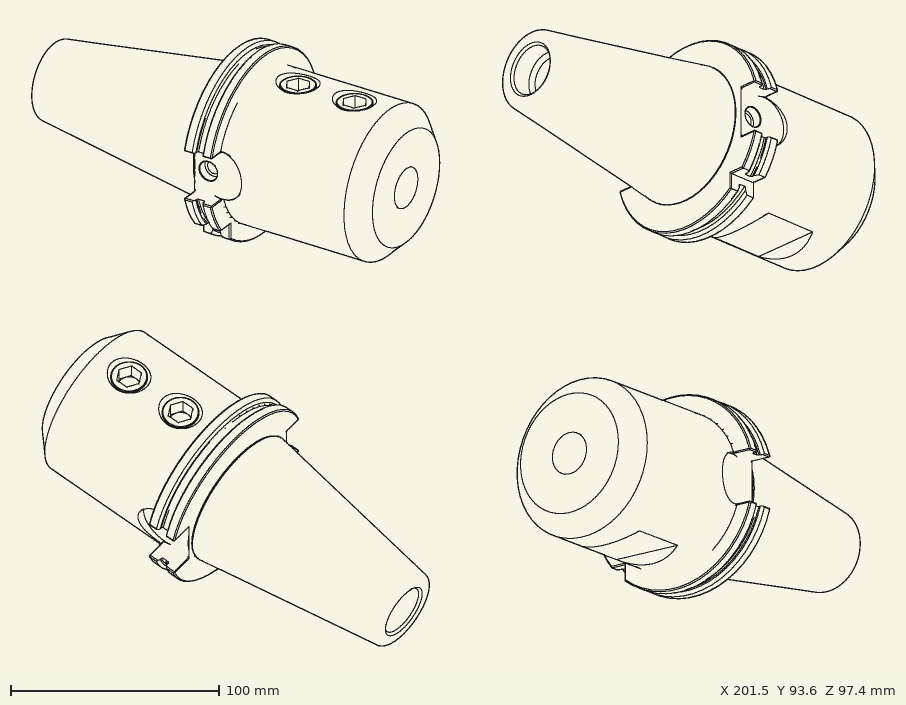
import cadquery as cq
import math

total_length = 201.5

taper_ratio = 7 / 24
gauge_x = 101.2
gauge_diameter = 70.2
taper_end_x = 102.8
taper_end_fillet = 2.5
relief_depth = 0.5
relief_fillet = 1.2
small_end_radius = (gauge_diameter - gauge_x * taper_ratio) / 2
taper_end_radius = small_end_radius + taper_end_x * taper_ratio / 2

flange_x = 104.8
flange_width = 15.7
flange_end_x = flange_x + flange_width
flange_radius = 97.4 / 2
edge_chamfer = 0.6
groove_centre_x = 112.7
groove_depth = 3.2
groove_flank_depth = 1.8
groove_mouth_width = 6.2
groove_corner_fillet = 0.6
groove_flank_angle = 30.0
groove_floor_width = groove_mouth_width - 2 * groove_flank_depth * math.tan(math.radians(groove_flank_angle))

nose_radius = 79.5 / 2
nose_chamfer = 9.9
nose_root_fillet = 1.2

bore_diameter = 20.8
counterbore_diameter = 25.0
counterbore_depth = 11.0
counterbore_chamfer = 1.2

slot_width = 25.8
slot_floor_front = 37.3
slot_floor_rear = 35.5
slot_arc_x = 120.4
slot_corner_fillet = 0.6

dimple_diameter = 7.0
dimple_step_diameter = 10.0
dimple_step_depth = 4.8
dimple_mouth_diameter = 10.7
dimple_depth = 10.0
drill_tip_angle = 118.0

notch_y = -30.0
notch_z = -30.2

screw_diameter = 17.7
screw_chamfer = 0.5
screw_pitch = 32.3
screw_middle_x = 156.0
screw_top_z = 38.3
screw_length = 20.2
screw_countersink_diameter = 22.0
hex_across_flats = 10.9
hex_depth = 8.0
screw_places = [screw_middle_x - screw_pitch / 2, screw_middle_x + screw_pitch / 2]

pocket_floor_z = -35.0
pocket_floor_length = 29.5
pocket_end_run = 4.2


def cone_height(radius, tip_angle):
    """Height of a cone of this base radius and full tip angle."""
    return radius / math.tan(math.radians(tip_angle / 2))


def make_turned_body():
    """Taper, flange and nose turned around the X axis."""
    relief_radius = taper_end_radius - relief_depth
    groove_left_x = groove_centre_x - groove_floor_width / 2
    groove_right_x = groove_centre_x + groove_floor_width / 2
    groove_floor_radius = flange_radius - groove_depth
    groove_corner_radius = groove_floor_radius + groove_corner_fillet
    groove_flank_radius = flange_radius - groove_flank_depth
    profile = (
        cq.Workplane("XY")
        .lineTo(0, small_end_radius)
        .lineTo(taper_end_x, taper_end_radius)
        .lineTo(taper_end_x + relief_depth, relief_radius)
        .lineTo(flange_x - relief_fillet, relief_radius)
        .radiusArc((flange_x, relief_radius + relief_fillet), -relief_fillet)
        .lineTo(flange_x, flange_radius - edge_chamfer)
        .lineTo(flange_x + edge_chamfer, flange_radius)
        .lineTo(groove_centre_x - groove_mouth_width / 2, flange_radius)
        .lineTo(groove_left_x, groove_flank_radius)
        .lineTo(groove_left_x, groove_corner_radius)
        .radiusArc((groove_left_x + groove_corner_fillet, groove_floor_radius), -groove_corner_fillet)
        .lineTo(groove_right_x - groove_corner_fillet, groove_floor_radius)
        .radiusArc((groove_right_x, groove_corner_radius), -groove_corner_fillet)
        .lineTo(groove_right_x, groove_flank_radius)
        .lineTo(groove_centre_x + groove_mouth_width / 2, flange_radius)
        .lineTo(flange_end_x - edge_chamfer, flange_radius)
        .lineTo(flange_end_x, flange_radius - edge_chamfer)
        .lineTo(flange_end_x, nose_radius + nose_root_fillet)
        .radiusArc((flange_end_x + nose_root_fillet, nose_radius), -nose_root_fillet)
        .lineTo(total_length - nose_chamfer, nose_radius)
        .lineTo(total_length, nose_radius - nose_chamfer)
        .lineTo(total_length, 0)
        .close()
    )
    turned = profile.revolve(360, (0, 0, 0), (1, 0, 0))
    return turned.faces("<X").edges().fillet(taper_end_fillet)


def make_bore():
    """Through bore with a chamfered counterbore at the small taper end."""
    bore_radius = bore_diameter / 2
    counterbore_radius = counterbore_diameter / 2
    return (
        cq.Workplane("XY")
        .lineTo(0, counterbore_radius + counterbore_chamfer)
        .lineTo(counterbore_chamfer, counterbore_radius)
        .lineTo(counterbore_depth, counterbore_radius)
        .lineTo(counterbore_depth + counterbore_radius - bore_radius, bore_radius)
        .lineTo(total_length, bore_radius)
        .lineTo(total_length, 0)
        .close()
        .revolve(360, (0, 0, 0), (1, 0, 0))
    )


def make_drive_slot(floor_distance, side):
    """Round-ended slot with chamfered edges; side is -1 for -Y and +1 for +Y."""
    half_width = slot_width / 2
    wide_half = half_width + edge_chamfer
    wall_top = math.sqrt(flange_radius**2 - wide_half**2)

    straight = (
        cq.Workplane("YZ", origin=(flange_x, 0, 0))
        .moveTo(side * floor_distance, -half_width)
        .lineTo(side * (wall_top - edge_chamfer), -half_width)
        .lineTo(side * wall_top, -wide_half)
        .lineTo(side * flange_radius, -wide_half)
        .lineTo(side * flange_radius, wide_half)
        .lineTo(side * wall_top, wide_half)
        .lineTo(side * (wall_top - edge_chamfer), half_width)
        .lineTo(side * floor_distance, half_width)
        .close()
        .extrude(flange_width)
    )
    floor_edges = "<Y" if side > 0 else ">Y"
    straight = straight.faces(floor_edges).edges("|X").fillet(slot_corner_fillet)

    flared = (
        cq.Workplane("XZ", origin=(0, side * floor_distance, 0))
        .moveTo(flange_x, -wide_half)
        .lineTo(flange_x + edge_chamfer, -half_width + slot_corner_fillet)
        .lineTo(flange_end_x - edge_chamfer, -half_width + slot_corner_fillet)
        .lineTo(flange_end_x, -wide_half)
        .lineTo(flange_end_x, wide_half)
        .lineTo(flange_end_x - edge_chamfer, half_width - slot_corner_fillet)
        .lineTo(flange_x + edge_chamfer, half_width - slot_corner_fillet)
        .lineTo(flange_x, wide_half)
        .close()
        .extrude(-side * flange_radius)
    )

    round_end = (
        cq.Workplane("XZ", origin=(0, side * floor_distance, 0))
        .center(slot_arc_x, 0)
        .circle(half_width)
        .extrude(-side * flange_radius)
    )
    return straight.union(flared).union(round_end)


def make_dimple():
    """Stepped blind hole in the floor of the front slot, pointing along +Y."""
    radius = dimple_diameter / 2
    step_radius = dimple_step_diameter / 2
    mouth_radius = dimple_mouth_diameter / 2
    floor_y = -slot_floor_front
    step_y = floor_y + dimple_step_depth
    bottom_y = floor_y + dimple_depth
    axis_x = groove_centre_x
    return (
        cq.Workplane("XY")
        .moveTo(axis_x, floor_y)
        .lineTo(axis_x + mouth_radius, floor_y)
        .lineTo(axis_x + step_radius, floor_y + mouth_radius - step_radius)
        .lineTo(axis_x + step_radius, step_y)
        .lineTo(axis_x + radius, step_y)
        .lineTo(axis_x + radius, bottom_y)
        .lineTo(axis_x, bottom_y + cone_height(radius, drill_tip_angle))
        .close()
        .revolve(360, (axis_x, 0, 0), (axis_x, 1, 0))
    )


def make_notch():
    """Corner cut through the flange on the -Y, -Z side, chamfered at both flange faces."""
    size = flange_radius
    corner = cq.Workplane("YZ", origin=(flange_x, 0, 0)).center(notch_y - size / 2, notch_z - size / 2)
    notch = corner.rect(size, size).extrude(flange_width)
    chamfered_size = size + 2 * edge_chamfer
    left_flare = corner.rect(chamfered_size, chamfered_size).extrude(edge_chamfer, taper=45)
    right_flare = left_flare.mirror("YZ", (flange_x + flange_width / 2, 0, 0))
    return notch.union(left_flare).union(right_flare)


def make_balance_pocket():
    """Flat pocket with sloping ends across the underside of the nose."""
    pocket_depth = nose_radius + pocket_floor_z
    half_floor = pocket_floor_length / 2
    half_mouth = half_floor + pocket_end_run
    return (
        cq.Workplane("XZ")
        .moveTo(screw_middle_x - half_floor, pocket_floor_z)
        .lineTo(screw_middle_x + half_floor, pocket_floor_z)
        .lineTo(screw_middle_x + half_mouth, pocket_floor_z - pocket_depth)
        .lineTo(screw_middle_x - half_mouth, pocket_floor_z - pocket_depth)
        .close()
        .extrude(nose_radius, both=True)
    )


def make_screw_hole(x):
    """Blind hole for a clamping screw, with a 45 degree countersink."""
    radius = screw_diameter / 2
    mouth_radius = screw_countersink_diameter / 2
    return (
        cq.Workplane("XZ")
        .moveTo(0, screw_top_z - screw_length)
        .lineTo(radius, screw_top_z - screw_length)
        .lineTo(radius, nose_radius - (mouth_radius - radius))
        .lineTo(mouth_radius, nose_radius)
        .lineTo(0, nose_radius)
        .close()
        .revolve(360, (0, 0, 0), (0, 1, 0))
        .translate((x, 0, 0))
    )


def make_screw(x):
    """Clamping screw with a chamfered head and a hexagon socket that ends in a cone."""
    hex_corner_diameter = hex_across_flats / math.cos(math.radians(30))
    tip_radius = hex_across_flats / 2
    tip_height = cone_height(tip_radius, drill_tip_angle)
    top = cq.Workplane("XY", origin=(x, 0, screw_top_z))
    blank = top.circle(screw_diameter / 2).extrude(-screw_length)
    blank = blank.faces(">Z").edges().chamfer(screw_chamfer)
    socket = top.polygon(6, hex_corner_diameter).extrude(-hex_depth)
    socket_bottom = cq.Vector(x, 0, screw_top_z - hex_depth)
    tip = cq.Solid.makeCone(tip_radius, 0, tip_height, pnt=socket_bottom, dir=cq.Vector(0, 0, -1))
    return blank.cut(socket).cut(cq.Workplane(tip))


def make_holder():
    """Tool holder with its bore, slots, notch, pocket and screw holes."""
    holder = make_turned_body()
    holder = holder.cut(make_bore())
    holder = holder.cut(make_drive_slot(slot_floor_front, -1))
    holder = holder.cut(make_drive_slot(slot_floor_rear, 1))
    holder = holder.cut(make_dimple())
    holder = holder.cut(make_notch())
    holder = holder.cut(make_balance_pocket())
    for x in screw_places:
        holder = holder.cut(make_screw_hole(x))
    return holder


holder = make_holder()
screws = [make_screw(x) for x in screw_places]

result = cq.Compound.makeCompound([holder.val(), *[screw.val() for screw in screws]])